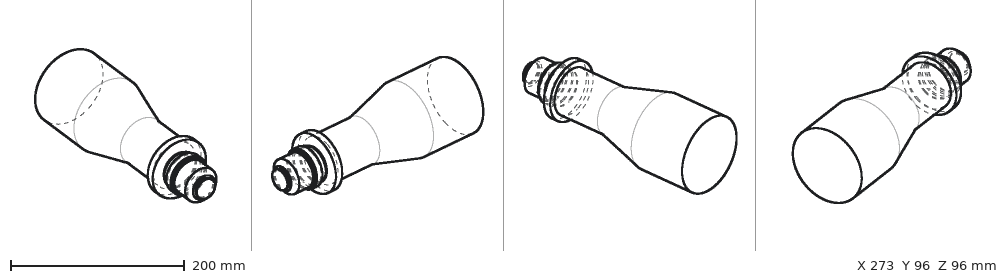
import cadquery as cq

body_end = 77.5
taper_end = 144.5
flange_start = 209.8
flange_end = 219.7
relief_end = 221.3
collar_start = 229.5
collar_end = 238.0
stem_end = 241.2
nose_chamfer_start = 262.5
nose_end = 268.8
tip_groove_end = 270.7
total_length = 273.0

body_radius = 96.0 / 2
neck_radius = 30.0
flange_radius = 37.7
relief_radius = 22.0
stem_radius = 23.0
collar_radius = 25.5
nose_radius = 22.0
nose_face_radius = 15.5
tip_groove_radius = 12.3
tip_radius = 13.0

sections = [
    (body_end, body_radius, body_radius),
    (taper_end, body_radius, neck_radius),
    (flange_start, neck_radius, neck_radius),
    (flange_end, flange_radius, flange_radius),
    (relief_end, relief_radius, relief_radius),
    (collar_start, stem_radius, stem_radius),
    (collar_end, collar_radius, collar_radius),
    (stem_end, stem_radius, stem_radius),
    (nose_chamfer_start, nose_radius, nose_radius),
    (nose_end, nose_radius, nose_face_radius),
    (tip_groove_end, tip_groove_radius, tip_groove_radius),
    (total_length, tip_radius, tip_radius),
]


def half_profile(sections):
    """Closed half outline in XZ, from the axis out along the sections and back."""
    profile = cq.Workplane("XZ").moveTo(0, 0)
    station = 0
    last_radius = 0
    for end, start_radius, end_radius in sections:
        if start_radius != last_radius:
            profile = profile.lineTo(station, start_radius)
        profile = profile.lineTo(end, end_radius)
        station = end
        last_radius = end_radius
    return profile.lineTo(station, 0).close()


result = half_profile(sections).revolve(360, (0, 0, 0), (1, 0, 0))